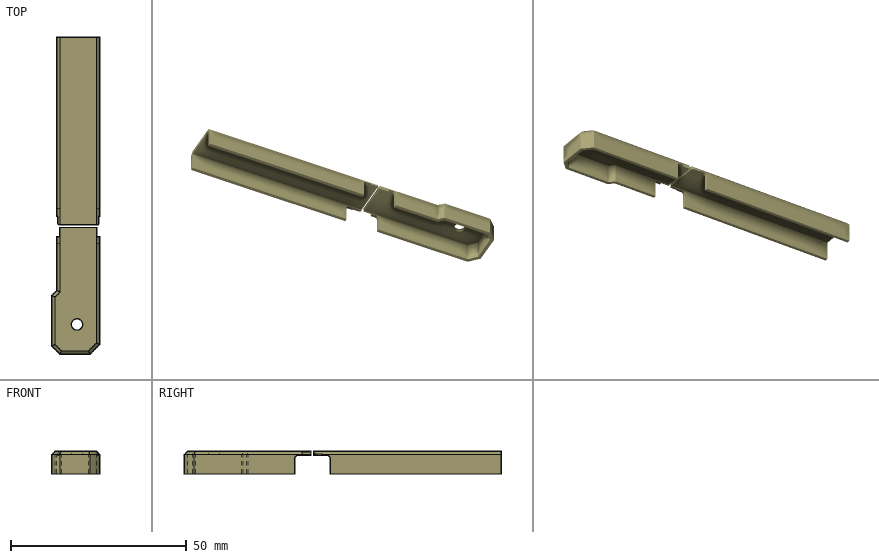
import cadquery as cq

total_length = 90.5
height = 6.5
width = 12.3
wall = 1.0
roof = 1.0
edge_chamfer = 1.0
half_width = width / 2

cover_front = 36.9
handle_rear = 36.2

wall_cut_front = 31.6
wall_cut_rear = 41.6
wall_cut_top = 5.25
wall_cut_radius = 0.77

handle_tongue_length = 2.6
handle_tongue_inset = 0.8
cover_tongue_length = 2.4
cover_tongue_inset = 0.3
cover_tongue_corner = 0.45

head_step = 1.45
head_length = 16.7
left_corner = 2.35
right_corner = 2.8
hole_diameter = 3.2
hole_x = -0.4
hole_y = 8.5

overrun = 4.5


def box(x_min, x_max, y_min, y_max, z_min, z_max):
    """Box given by its limits."""
    size = (x_max - x_min, y_max - y_min, z_max - z_min)
    return cq.Workplane("XY").box(*size, centered=False).translate((x_min, y_min, z_min))


def shell(outline, y_min, y_max):
    """Open-bottomed shell with chamfered top edges, trimmed flat at y_min and y_max."""
    block = outline.extrude(height)
    inner_outline = block.faces("<Z").wires().toPending().offset2D(-wall, "intersection")
    cavity = inner_outline.extrude(height - roof, combine=False)
    body = block.faces(">Z").edges().chamfer(edge_chamfer).cut(cavity)
    return body.intersect(box(-width, width, y_min, y_max, 0, height))


def wall_cutout():
    """Opening through both side walls around the gap, rounded at its upper corners."""
    opening = box(-width, width, wall_cut_front, wall_cut_rear, 0, wall_cut_top)
    return opening.faces(">Z").edges("|X").fillet(wall_cut_radius)


def cover_tongue_sides():
    """Material removed to narrow the front of the cover, leaving rounded front corners."""
    zone_rear = cover_front + cover_tongue_length
    zone = box(-width, width, cover_front, zone_rear, 0, height)
    edge = half_width - cover_tongue_inset
    tongue = box(-edge, edge, cover_front, zone_rear, 0, height)
    tongue = tongue.edges("|Z and <Y").fillet(cover_tongue_corner)
    return zone.cut(tongue)


def handle_tongue_sides():
    """Material removed to narrow the rear of the handle, leaving square corners."""
    zone_front = handle_rear - handle_tongue_length
    zone = box(-width, width, zone_front, handle_rear, 0, height)
    edge = half_width - handle_tongue_inset
    tongue = box(-edge, edge, zone_front, handle_rear, 0, height)
    return zone.cut(tongue)


def make_cover():
    """Long straight channel with a plain rear end."""
    length = total_length - cover_front + 2 * overrun
    outline = cq.Workplane("XY").center(0, (total_length + cover_front) / 2).rect(width, length)
    body = shell(outline, cover_front, total_length)
    return body.cut(wall_cutout()).cut(cover_tongue_sides())


def make_handle():
    """Short channel that widens into a closed head with a hole through its top plate."""
    head_left = -half_width - head_step
    outline_rear = handle_rear + overrun
    outline = cq.Workplane("XY").polyline([
        (head_left + left_corner, 0),
        (half_width - right_corner, 0),
        (half_width, right_corner),
        (half_width, outline_rear),
        (-half_width, outline_rear),
        (-half_width, head_length + head_step),
        (head_left, head_length),
        (head_left, left_corner),
    ]).close()
    body = shell(outline, 0, handle_rear)
    body = body.cut(wall_cutout()).cut(handle_tongue_sides())
    hole = cq.Workplane("XY").center(hole_x, hole_y).circle(hole_diameter / 2).extrude(height)
    return body.cut(hole)


cover = make_cover()
handle = make_handle()

result = cq.Compound.makeCompound([cover.val(), handle.val()])